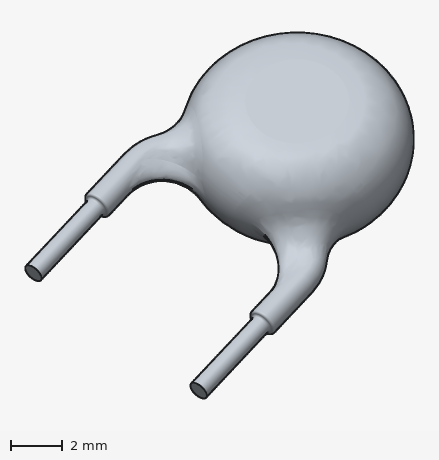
import cadquery as cq
import math

body_diameter = 9.0
body_thickness = 5.0
rim_radius = body_thickness / 2
flat_radius = body_diameter / 2 - rim_radius

lead_spacing = 8.0
lead_stagger = 1.0
lead_x = lead_spacing / 2
wire_diameter = 0.8
wire_end_y = -11.5

coat_diameter = 1.2
coat_end_y = -7.5
coat_end_fillet = 0.1
root_fillet = 2.0

bend_start_y = -5.0
bend_radius = 2.0


def make_body():
    """Disc with a fully rounded rim and flat faces."""
    half = body_thickness / 2
    profile = (
        cq.Workplane("XZ")
        .moveTo(0, -half)
        .lineTo(flat_radius, -half)
        .threePointArc((flat_radius + rim_radius, 0), (flat_radius, half))
        .lineTo(0, half)
        .close()
    )
    return profile.revolve(360, (0, 0, 0), (0, 1, 0))


def make_sleeve(z):
    """Left-hand coating sleeve: straight along Y, then a quarter bend into the body."""
    bend_centre_x = bend_radius - lead_x
    arc_offset = bend_radius * math.sin(math.radians(45))
    path = (
        cq.Workplane("XY", origin=(0, 0, z))
        .moveTo(-lead_x, coat_end_y)
        .lineTo(-lead_x, bend_start_y)
        .threePointArc(
            (bend_centre_x - arc_offset, bend_start_y + arc_offset),
            (bend_centre_x, bend_start_y + bend_radius),
        )
    )
    section = cq.Workplane("XZ", origin=(-lead_x, coat_end_y, z)).circle(coat_diameter / 2)
    return section.sweep(path)


def make_wire(z):
    """Left-hand bare wire, starting inside its sleeve, with a concave flare where it leaves it."""
    wire_radius = wire_diameter / 2
    flare_x = wire_radius + coat_end_fillet
    flare_y = coat_end_y - coat_end_fillet
    arc_offset = coat_end_fillet * math.sin(math.radians(45))
    profile = (
        cq.Workplane("XY", origin=(-lead_x, 0, z))
        .moveTo(0, wire_end_y)
        .lineTo(wire_radius, wire_end_y)
        .lineTo(wire_radius, flare_y)
        .threePointArc((flare_x - arc_offset, flare_y + arc_offset), (flare_x, coat_end_y))
        .lineTo(flare_x, bend_start_y)
        .lineTo(0, bend_start_y)
        .close()
    )
    return profile.revolve(360, (0, 0, 0), (0, 1, 0))


def add_lead(part):
    """Join a left-hand lead to a part whose left side is bare, and blend its root into the body."""
    z = lead_stagger / 2
    joined = part.union(make_sleeve(z))
    left_side = cq.selectors.BoxSelector(
        (-body_diameter, -body_diameter, -body_thickness),
        (0, body_diameter, body_thickness),
    )
    root_edges = [edge for edge in joined.edges(left_side).vals() if edge.geomType() == "BSPLINE"]
    blended = joined.newObject(root_edges).fillet(root_fillet)
    sleeve_end = cq.selectors.NearestToPointSelector((-lead_x, coat_end_y, z))
    rounded = blended.faces(sleeve_end).edges().fillet(coat_end_fillet)
    return rounded.union(make_wire(z))


def half_turn(part):
    """The part turned 180 degrees about the Y axis."""
    return part.rotate((0, 0, 0), (0, 1, 0), 180)


one_lead = add_lead(make_body())
result = add_lead(half_turn(one_lead))